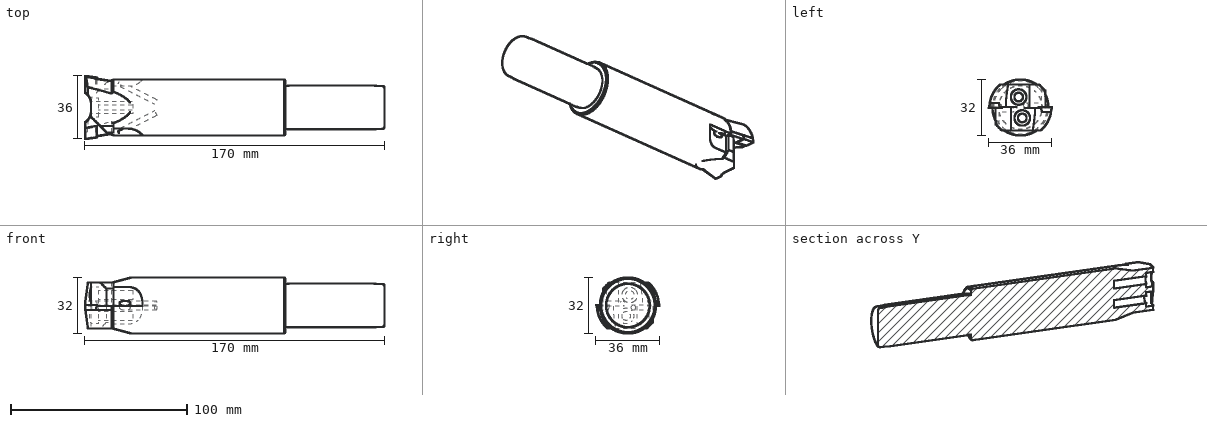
import cadquery as cq
import math

total_length = 170.0
body_radius = 32.0 / 2
body_start = 16.2
body_end = 113.7
body_chamfer = 0.8
neck_radius = 24.5 / 2
neck_taper_start = 114.5
shank_radius = 25.0 / 2
shank_start = 115.6
shank_taper_start = 164.2
shank_tail_start = 165.8
tail_fillet = 1.4

lobe_radius = 17.7
lobe_end = 14.8
lobe_end_radius = 15.3
lobe_height = 13.1
crown_end = 15.5
slope_angle = 15.0
front_relief_angle = 8.0
backing_length = 16.0
backing_side = 14.1
backing_chamfer = 3.5

floor_drop = 0.2
web_front = 3.2
front_arc_start = 8.3
front_arc_end = 2.2
front_arc_radius = ((front_arc_start - front_arc_end) ** 2 + web_front ** 2) / (2 * web_front)
diagonal_start = 5.3
diagonal_end_x = web_front + backing_side - diagonal_start

flute_side = 12.0
flute_arc_start = 24.6
flute_arc_radius = 10.0

bore_y = 1.0
bore_z = 6.0
bore_diameter = 8.8
bore_depth = 4.2
small_bore_diameter = 5.0
small_bore_depth = 23.8

coolant_diameter = 2.9
coolant_mouth = cq.Vector(18.9, -14.0, 1.2)
coolant_angle = 27.0
coolant_depth = 23.8

tip_length = 6.6
tip_outer = 36.0 / 2
tip_inner = 11.5
tip_side_angle = 8.0
tip_inner_angle = 10.0
tip_proud = 0.25
tip_seat = 2.5
tip_draft = 0.7
land_outer = 17.0

reach = 23.8


def half_turn(shape):
    return shape.rotate((0, 0, 0), (1, 0, 0), 180)


def turned(points):
    """Revolve an (x, radius) outline about the X axis."""
    return cq.Workplane("XY").polyline(points).close().revolve(360, (0, 0, 0), (1, 0, 0))


def make_shaft():
    """Body, neck and shank; the front end is relieved by the sloped flats."""
    shaft = turned([
        (lobe_end, 0),
        (lobe_end, lobe_end_radius),
        (body_start, body_radius),
        (body_end - body_chamfer, body_radius),
        (body_end, body_radius - body_chamfer),
        (body_end, neck_radius),
        (neck_taper_start, neck_radius),
        (shank_start, shank_radius),
        (shank_taper_start, shank_radius),
        (shank_tail_start, neck_radius),
        (total_length, neck_radius),
        (total_length, 0),
    ])
    return shaft.faces(">X").edges().fillet(tail_fillet)


def make_lobe():
    """Upper lobe: a conical sector on +Y and a chamfered backing on -Y."""
    cone = turned([
        (0, 0),
        (0, lobe_radius),
        (lobe_end, lobe_end_radius),
        (body_start, body_radius),
        (body_start, 0),
    ])
    sector = cone.intersect(cq.Workplane("XY").box(body_start, reach, lobe_height, centered=False))
    backing = (
        cq.Workplane("XY")
        .box(backing_length, backing_side, lobe_height, centered=False)
        .translate((0, -backing_side, 0))
        .edges("|X and <Y and >Z")
        .chamfer(backing_chamfer)
    )
    return sector.union(backing)


def top_relief():
    """Removes everything above the flat top and its run-out slope."""
    slope_run = 34.0
    slope_rise = slope_run * math.tan(math.radians(slope_angle))
    return (
        cq.Workplane("XZ")
        .polyline([
            (-1.7, lobe_height),
            (crown_end, lobe_height),
            (crown_end + slope_run, lobe_height + slope_rise),
            (-1.7, lobe_height + slope_rise),
        ])
        .close()
        .extrude(reach, both=True)
    )


def front_relief():
    """Leans the front face back above the tip seat."""
    rise = reach - tip_seat
    return (
        cq.Workplane("XZ")
        .polyline([
            (0, tip_seat),
            (rise * math.tan(math.radians(front_relief_angle)), reach),
            (0, reach),
        ])
        .close()
        .extrude(reach, both=True)
    )


def chip_space():
    """Open space before the tip, continued by the round-ended flute."""
    front_arc_angle = math.asin((front_arc_start - front_arc_end) / front_arc_radius) / 2
    front_arc_middle = (
        web_front - front_arc_radius * (1 - math.cos(front_arc_angle)),
        front_arc_end + front_arc_radius * math.sin(front_arc_angle),
    )
    flute_arc_offset = flute_arc_radius * math.sin(math.radians(45))
    flute_centre_y = -flute_side - flute_arc_radius
    return (
        cq.Workplane("XY")
        .workplane(offset=-floor_drop)
        .moveTo(-1.7, front_arc_start)
        .lineTo(0, front_arc_start)
        .threePointArc(front_arc_middle, (web_front, front_arc_end))
        .lineTo(web_front, -diagonal_start)
        .lineTo(diagonal_end_x, -backing_side)
        .lineTo(backing_length, -backing_side)
        .lineTo(backing_length, -flute_side)
        .lineTo(flute_arc_start, -flute_side)
        .threePointArc(
            (flute_arc_start + flute_arc_offset, flute_centre_y + flute_arc_offset),
            (flute_arc_start + flute_arc_radius, flute_centre_y),
        )
        .lineTo(-1.7, flute_centre_y)
        .close()
        .extrude(reach)
    )


def stepped_bore():
    start = cq.Workplane("YZ").center(bore_y, bore_z)
    wide = start.circle(bore_diameter / 2).extrude(web_front + bore_depth)
    narrow = start.circle(small_bore_diameter / 2).extrude(web_front + small_bore_depth)
    return wide.union(narrow)


def coolant_hole():
    angle = math.radians(coolant_angle)
    direction = cq.Vector(math.cos(angle), math.sin(angle), 0)
    hole = cq.Solid.makeCylinder(coolant_diameter / 2, coolant_depth, coolant_mouth, direction)
    return cq.Workplane(hole)


def tip_land():
    """Trims the lobe back to a flat land level with the seat of the tip."""
    land_shift = lobe_end * math.tan(math.radians(tip_side_angle))
    return (
        cq.Workplane("XY")
        .workplane(offset=-tip_proud)
        .polyline([
            (0, land_outer),
            (lobe_end, land_outer - land_shift),
            (lobe_end, reach),
            (0, reach),
        ])
        .close()
        .extrude(tip_proud + tip_seat)
    )


def tip_outline(length, outer, inner):
    """Four-sided outline whose long sides slope towards the axis."""
    side_shift = length * math.tan(math.radians(tip_side_angle))
    inner_shift = length * math.tan(math.radians(tip_inner_angle))
    return [
        (0, outer),
        (length, outer - side_shift),
        (length, inner - inner_shift),
        (0, inner),
    ]


def make_tip():
    """Tip of the upper lobe, its cutting face turned to -Z."""
    cutting_face = tip_outline(tip_length, tip_outer, tip_inner)
    seat_face = tip_outline(tip_length - tip_draft, tip_outer - tip_draft, tip_inner + tip_draft)
    return (
        cq.Workplane("XY")
        .workplane(offset=-tip_proud)
        .polyline(cutting_face)
        .close()
        .workplane(offset=tip_proud + tip_seat)
        .polyline(seat_face)
        .close()
        .loft(ruled=True)
    )


def make_holder(tips):
    lobe = make_lobe()
    holder = make_shaft().union(lobe).union(half_turn(lobe))
    cutters = (top_relief(), front_relief(), tip_land(), chip_space(), stepped_bore(), coolant_hole())
    for cutter in cutters:
        holder = holder.cut(cutter).cut(half_turn(cutter))
    for tip in tips:
        holder = holder.cut(tip)
    return holder.solids()


tips = [make_tip().rotate((0, 0, 0), (1, 0, 0), turn) for turn in (0, 180)]
holder = make_holder(tips)

result = cq.Compound.makeCompound([holder.val(), *[tip.val() for tip in tips]])